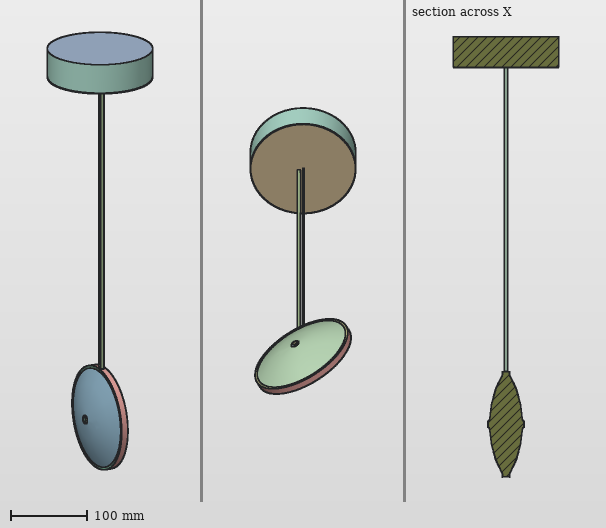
import cadquery as cq

total_height = 576.0
canopy_radius = 69.0
canopy_height = 40.5
base_plate_height = 1.0
base_plate_inset = 0.5

disc_radius = 69.0
disc_center_z = disc_radius
rim_half_width = 4.5
dome_radius = 65.5
dome_apex = 22.0
button_radius = 6.0
button_face_radius = 4.0
button_reach = 23.5

cable_radius = 1.0
cable_offset = -0.5
rod_radius = 2.5
rod_offset = 6.5
embed_depth = 3.5

canopy_bottom = total_height - canopy_height
disc_top = disc_center_z + disc_radius


def make_canopy():
    """Round drum closed below by a thin, slightly smaller plate."""
    drum_bottom = canopy_bottom + base_plate_height
    plate = (
        cq.Workplane("XY", origin=(0, 0, canopy_bottom))
        .circle(canopy_radius - base_plate_inset)
        .extrude(base_plate_height)
    )
    drum = (
        cq.Workplane("XY", origin=(0, 0, drum_bottom))
        .circle(canopy_radius)
        .extrude(total_height - drum_bottom)
    )
    return drum.union(plate)


def make_dome():
    """Lamp half on the +Y side: spherical dome with a bevelled button, reaching in to the mid-plane."""
    dome_rise = dome_apex - rim_half_width
    sphere_radius = (dome_radius**2 + dome_rise**2) / (2 * dome_rise)
    sphere_center = dome_apex - sphere_radius

    def dome_height(radius):
        return sphere_center + (sphere_radius**2 - radius**2) ** 0.5

    middle = (dome_radius + button_radius) / 2
    bevel = button_radius - button_face_radius
    return (
        cq.Workplane("XY")
        .moveTo(0, 0)
        .lineTo(dome_radius, 0)
        .lineTo(dome_radius, rim_half_width)
        .threePointArc((middle, dome_height(middle)), (button_radius, dome_height(button_radius)))
        .lineTo(button_radius, button_reach - bevel)
        .lineTo(button_face_radius, button_reach)
        .lineTo(0, button_reach)
        .close()
        .revolve(360, (0, 0, 0), (0, 1, 0))
    )


def make_disc():
    """Cylindrical rim with the same dome on both faces."""
    rim = (
        cq.Workplane("XZ", origin=(0, rim_half_width, 0))
        .circle(disc_radius)
        .extrude(2 * rim_half_width)
    )
    dome = make_dome()
    disc = rim.union(dome).union(dome.mirror("XZ"))
    return disc.translate((0, 0, disc_center_z))


def make_hanger(x, radius):
    """Vertical round bar sunk a little into the disc's rim and the canopy."""
    bottom = disc_top - embed_depth
    return (
        cq.Workplane("XY", origin=(x, 0, bottom))
        .circle(radius)
        .extrude(canopy_bottom + embed_depth - bottom)
    )


result = (
    make_canopy()
    .union(make_disc())
    .union(make_hanger(cable_offset, cable_radius))
    .union(make_hanger(rod_offset, rod_radius))
)